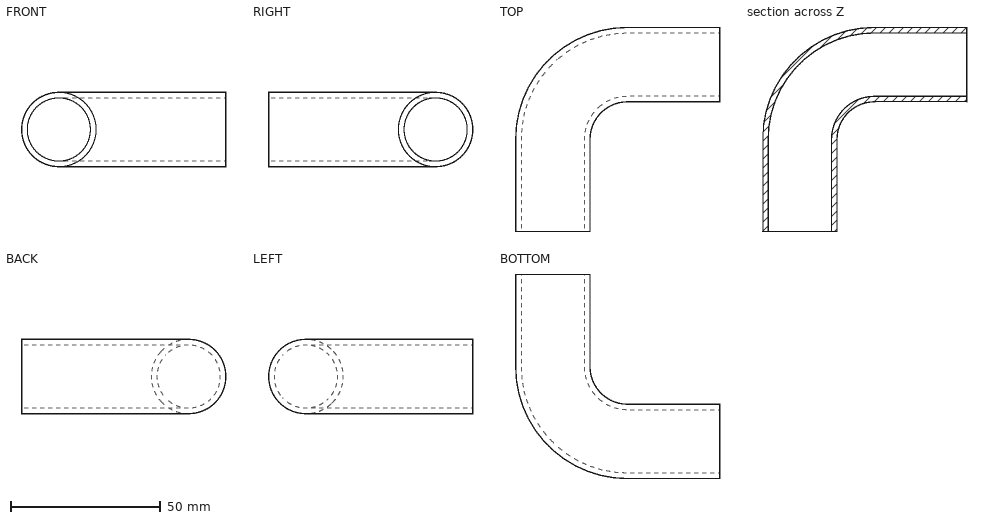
import cadquery as cq

overall_length = 68.5
outer_diameter = 25.0
wall_thickness = 1.9

outer_radius = outer_diameter / 2
inner_radius = outer_radius - wall_thickness
bend_radius = outer_diameter
leg_length = overall_length - bend_radius - outer_radius


def pipe_section(plane):
    """Ring-shaped pipe cross-section centred on the given plane."""
    return cq.Workplane(plane).circle(outer_radius).circle(inner_radius)


y_leg = pipe_section("XZ").extrude(leg_length)

bend = pipe_section("XZ").revolve(90, (bend_radius, 0, 0), (bend_radius, -1, 0))

x_leg_start = cq.Plane(origin=(bend_radius, bend_radius, 0), xDir=(0, 1, 0), normal=(1, 0, 0))
x_leg = pipe_section(x_leg_start).extrude(leg_length)

result = y_leg.union(bend).union(x_leg)